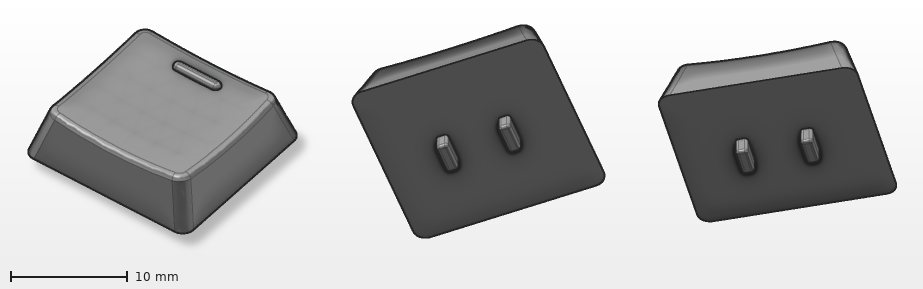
import cadquery as cq
import math

length = 17.5
width = 16.5
wall_draft = 16.5
corner_radius = 1.2
blank_height = 7.0

dish_radius = 49.0
dish_floor = 3.92
rim_fillet = 0.6

bar_length = 5.0
bar_width = 1.0
bar_y = 4.9
bar_base = 2.62
bar_top = 4.65
bar_fillet = 0.4

prong_spacing = 5.7
prong_size_x = 1.1
prong_size_y = 2.9
prong_length = 1.5
prong_fillet = 0.3


def make_body():
    """Tapered block with rounded corners, dished on top with a rounded rim."""
    blank_inset = blank_height * math.tan(math.radians(wall_draft))
    blank = (
        cq.Workplane("XY")
        .rect(length, width)
        .workplane(offset=blank_height)
        .rect(length - 2 * blank_inset, width - 2 * blank_inset)
        .loft(ruled=True)
        .edges("not(#Z)")
        .fillet(corner_radius)
    )
    ball = cq.Workplane("XY").sphere(dish_radius)
    dish = ball.rotate((0, 0, 0), (1, 0, 0), 90).translate((0, 0, dish_floor + dish_radius))
    dished = blank.cut(dish)
    return dished.faces(">Z").edges().fillet(rim_fillet)


def make_marker_bar():
    """Round-ended bar with a softened top edge."""
    return (
        cq.Workplane("XY", origin=(0, bar_y, bar_base))
        .slot2D(bar_length, bar_width)
        .extrude(bar_top - bar_base)
        .faces(">Z")
        .edges()
        .fillet(bar_fillet)
    )


def make_prong(x):
    """Rectangular prong with rounded upright and bottom edges."""
    return (
        cq.Workplane("XY", origin=(x, 0, 0))
        .rect(prong_size_x, prong_size_y)
        .extrude(-prong_length)
        .edges("|Z or <Z")
        .fillet(prong_fillet)
    )


result = make_body().union(make_marker_bar())
for side in (-1, 1):
    result = result.union(make_prong(side * prong_spacing / 2))